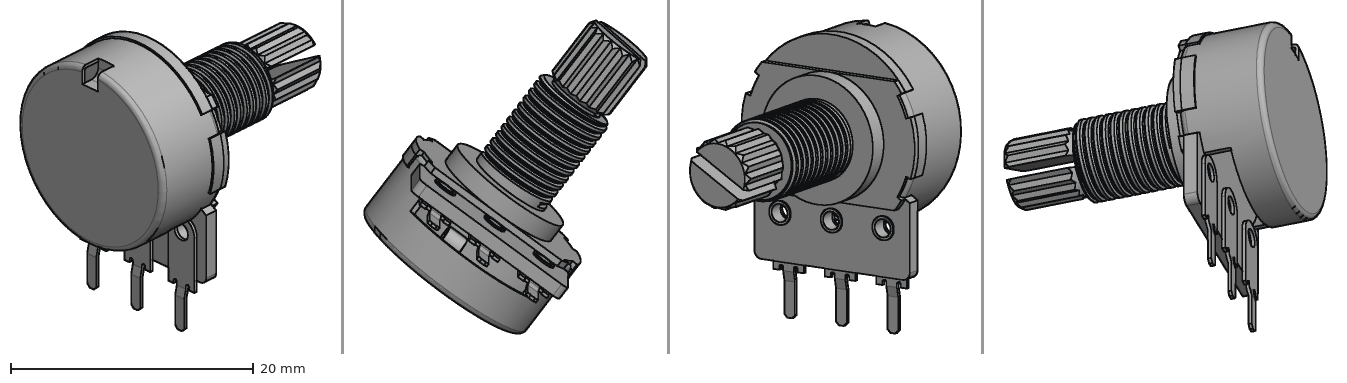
import cadquery as cq
import math


total_length = 24.52
total_height = 24.97
disc_radius = 8.51
lowest_z = disc_radius - total_height
sheet = 0.3

wafer_front = 5.9
wafer_thickness = 1.2
plate_front = wafer_front + wafer_thickness
plate_thickness = 0.6
flange_front = plate_front + plate_thickness
flange_thickness = 1.65
flange_back = flange_front + flange_thickness
bushing_end = 18.33

can_radius = 8.35
can_inner_radius = can_radius - sheet
can_edge_fillet = 0.5
can_inner_fillet = can_edge_fillet - sheet
window_start = 3.57
window_top = -5.8
crimp_radius = 0.52
crimp_start = 6.9
lug_angle_low = 17.9
lug_angle_high = 32.2

bridge_width = 1.8
bridge_depth = 1.9
bridge_floor = 6.62
bridge_radius = 0.8

wafer_half_width = 7.65
wafer_bottom = -11.4
wafer_corner = 0.7
flange_radius = 5.47
hole_z = -7.25
hole_radius = 0.77
boss_radius = 1.02
boss_height = 0.15

thread_radius = 3.5
thread_root_radius = 3.25
thread_pitch = 0.75
thread_start = 9.81
thread_start_angle = 130.0
thread_end_chamfer = 0.22
groove_root_width = 0.15
groove_mouth_width = 0.45
groove_overshoot = 0.1

shaft_radius = 2.42
knurl_radius = 3.0
knurl_root_radius = 2.75
knurl_teeth = 18
neck_end = 18.6
knurl_start = 19.1
tip_radius = 2.7
tip_chamfer = 0.45
slot_width = 1.0
slot_angle = 30.0

terminal_spacing = 5.07
terminal_half_width = 1.5
terminal_shoulder = -12.44
relief_width = 0.37
pin_half_width = 0.52
relief_top = -11.99
pin_offset = 0.2
pin_straight_top = -13.3
pin_tip_chamfer = 0.3


def on_y(y):
    """Workplane at height y whose local axes are X and Z; extrude by a negative length toward +Y."""
    return cq.Workplane("XZ", origin=(0, y, 0))


def cylinder(radius, y_start, y_end):
    return on_y(y_start).circle(radius).extrude(y_start - y_end)


def block(x_range, y_range, z_range):
    low, high = zip(x_range, y_range, z_range)
    size = [b - a for a, b in zip(low, high)]
    return cq.Workplane("XY").box(*size, centered=False).translate(low)


def polar(radius, degrees):
    angle = math.radians(degrees)
    return radius * math.cos(angle), radius * math.sin(angle)


def mirrored_four(shape):
    """The shape on the +X +Z side and its copies in the other three quadrants."""
    pair = shape.union(shape.mirror("YZ"))
    return pair.union(pair.mirror("XY"))


def lug_sectors(y_start, y_end):
    """Four wedges, reaching past the disc edge, that cover the angles of the can lugs."""
    reach = 2 * disc_radius
    wedge = (
        on_y(y_start)
        .polyline([(0, 0), polar(reach, lug_angle_low), polar(reach, lug_angle_high)])
        .close()
        .extrude(y_start - y_end)
    )
    return mirrored_four(wedge)


def lug_notches(y_start, y_end):
    return lug_sectors(y_start, y_end).cut(cylinder(can_inner_radius, y_start, y_end))


def make_lugs():
    """Four wall sections that reach past the wafer, rounded over at the end."""
    arc_center = can_radius - crimp_radius

    def crimp_point(radius):
        return radius, crimp_start + math.sqrt(crimp_radius**2 - (radius - arc_center) ** 2)

    inner_end = crimp_point(can_inner_radius)
    arc_middle = crimp_point(can_radius - sheet / 4)
    ring = (
        cq.Workplane("XY")
        .moveTo(can_inner_radius, wafer_front)
        .lineTo(can_radius, wafer_front)
        .lineTo(can_radius, crimp_start)
        .threePointArc(arc_middle, inner_end)
        .close()
        .revolve(360, (0, 0, 0), (0, 1, 0))
    )
    return ring.intersect(lug_sectors(wafer_front, flange_front))


def make_bridge():
    """Strip from the end face inward, curving up to the can wall."""
    bend_y = bridge_depth - bridge_radius
    bend_z = bridge_floor + bridge_radius
    diagonal = math.sqrt(0.5)
    outer_radius = bridge_radius + sheet
    strip = (
        cq.Workplane("YZ", origin=(-bridge_width / 2, 0, 0))
        .moveTo(0, bridge_floor)
        .lineTo(bend_y, bridge_floor)
        .threePointArc(
            (bend_y + bridge_radius * diagonal, bend_z - bridge_radius * diagonal),
            (bridge_depth, bend_z),
        )
        .lineTo(bridge_depth, can_radius)
        .lineTo(bridge_depth + sheet, can_radius)
        .lineTo(bridge_depth + sheet, bend_z)
        .threePointArc(
            (bend_y + outer_radius * diagonal, bend_z - outer_radius * diagonal),
            (bend_y, bridge_floor - sheet),
        )
        .lineTo(0, bridge_floor - sheet)
        .close()
        .extrude(bridge_width)
    )
    return strip.intersect(cylinder(can_radius, 0, wafer_front))


def make_can():
    """Hollow can with a pressed-in bridge, a cutaway for the terminals and four crimped lugs."""
    outside = cylinder(can_radius, 0, wafer_front).faces("<Y").edges().fillet(can_edge_fillet)
    inside = cylinder(can_inner_radius, sheet, wafer_front).faces("<Y").edges().fillet(can_inner_fillet)
    bridge_opening = block(
        (-bridge_width / 2, bridge_width / 2), (0, bridge_depth), (bridge_floor, can_radius)
    )
    terminal_window = block(
        (-can_radius, can_radius), (window_start, wafer_front), (-can_radius, window_top)
    )
    shell = outside.cut(inside).cut(bridge_opening).cut(terminal_window)
    return shell.union(make_bridge()).union(make_lugs())


def make_wafer():
    """Disc with a square apron that carries the terminals."""
    boss_end = plate_front + boss_height
    apron = block(
        (-wafer_half_width, wafer_half_width), (wafer_front, plate_front), (wafer_bottom, 0)
    )
    apron = apron.faces("<Z").edges("|Y").fillet(wafer_corner)
    wafer = cylinder(disc_radius, wafer_front, plate_front).union(apron)
    wafer = wafer.cut(lug_notches(wafer_front, plate_front))
    for x in terminal_positions:
        boss = cylinder(boss_radius, plate_front, boss_end).translate((x, 0, hole_z))
        hole = cylinder(hole_radius, wafer_front, boss_end).translate((x, 0, hole_z))
        wafer = wafer.union(boss).cut(hole)
    return wafer


def make_plate():
    """Disc cut off level with the bushing flange, with a hole for the shaft."""
    band = block(
        (-disc_radius, disc_radius), (plate_front, flange_front), (-flange_radius, flange_radius)
    )
    plate = cylinder(disc_radius, plate_front, flange_front).intersect(band)
    plate = plate.cut(lug_notches(plate_front, flange_front))
    return plate.cut(cylinder(shaft_radius, plate_front, flange_front))


def make_thread_groove():
    """Right-handed helical groove that starts on the -X side and runs out past the bushing end."""
    helix_length = bushing_end - thread_start + thread_pitch
    flank_slope = (groove_mouth_width - groove_root_width) / 2 / (thread_radius - thread_root_radius)
    cutter_radius = thread_radius + groove_overshoot
    cutter_half_width = groove_mouth_width / 2 + flank_slope * groove_overshoot
    corners = [
        (thread_root_radius, -groove_root_width / 2),
        (cutter_radius, -cutter_half_width),
        (cutter_radius, cutter_half_width),
        (thread_root_radius, groove_root_width / 2),
    ]
    helices = [
        cq.Wire.makeHelix(thread_pitch, helix_length, radius).translate(cq.Vector(0, 0, height))
        for radius, height in corners
    ]
    faces = []
    for helix, next_helix in zip(helices, helices[1:] + helices[:1]):
        faces.extend(cq.Face.makeRuledSurface(helix, next_helix).Faces())
    for end_points in (
        [helix.startPoint() for helix in helices],
        [helix.endPoint() for helix in helices],
    ):
        faces.append(cq.Face.makeFromWires(cq.Wire.makePolygon(end_points, close=True)))
    groove = cq.Workplane(cq.Solid.makeSolid(cq.Shell.makeShell(faces)))
    on_shaft_axis = groove.rotate((0, 0, 0), (1, 0, 0), -90).translate((0, thread_start, 0))
    angle_from_x = -90 - thread_start_angle
    return on_shaft_axis.rotate((0, 0, 0), (0, 1, 0), angle_from_x)


def make_bushing():
    """Round flange and threaded barrel, bored for the shaft."""
    flange = cylinder(flange_radius, flange_front, flange_back)
    barrel = cylinder(thread_radius, flange_back, bushing_end)
    barrel = barrel.faces(">Y").edges().chamfer(thread_end_chamfer)
    barrel = barrel.cut(make_thread_groove())
    bore = cylinder(shaft_radius, flange_front, bushing_end)
    return flange.union(barrel).cut(bore)


def make_shaft():
    """Round shaft with a knurled tip that is split by a slanted slot."""
    envelope = (
        cq.Workplane("XY")
        .polyline([
            (0, plate_front),
            (shaft_radius, plate_front),
            (shaft_radius, neck_end),
            (knurl_radius, knurl_start),
            (knurl_radius, total_length - tip_chamfer),
            (tip_radius, total_length),
            (0, total_length),
        ])
        .close()
        .revolve(360, (0, 0, 0), (0, 1, 0))
    )
    half_tooth = 180 / knurl_teeth
    star_points = []
    for tooth in range(knurl_teeth):
        star_points.append(polar(knurl_radius, 2 * tooth * half_tooth))
        star_points.append(polar(knurl_root_radius, (2 * tooth + 1) * half_tooth))
    star = on_y(plate_front).polyline(star_points).close().extrude(plate_front - total_length)
    slot = block(
        (-knurl_radius, knurl_radius), (bushing_end, total_length), (-slot_width / 2, slot_width / 2)
    ).rotate((0, 0, 0), (0, 1, 0), -slot_angle)
    return envelope.intersect(star).cut(slot)


def terminal_outline():
    """Blank as deep as the stepped strip: rounded top, body, and the narrow pin between two reliefs."""
    y_start = wafer_front - sheet - pin_offset
    thickness = wafer_front - y_start
    body = (
        on_y(y_start)
        .moveTo(-terminal_half_width, terminal_shoulder)
        .lineTo(-terminal_half_width, hole_z)
        .threePointArc((0, hole_z + terminal_half_width), (terminal_half_width, hole_z))
        .lineTo(terminal_half_width, terminal_shoulder)
        .close()
        .extrude(-thickness)
    )
    pin = block(
        (-pin_half_width, pin_half_width), (y_start, wafer_front), (lowest_z, terminal_shoulder)
    )
    pin = pin.faces("<Z").edges("|Y").chamfer(pin_tip_chamfer)
    outline = body.union(pin)
    relief_radius = relief_width / 2
    for side in (-1, 1):
        x = side * (pin_half_width + relief_radius)
        arch_z = relief_top - relief_radius
        arch = cylinder(relief_radius, y_start, wafer_front).translate((x, 0, arch_z))
        slit = block(
            (x - relief_radius, x + relief_radius), (y_start, wafer_front), (terminal_shoulder, arch_z)
        )
        outline = outline.cut(arch).cut(slit)
    return outline


def make_terminal(x):
    """Sheet-metal terminal with a stepped pin and a hole that lines up with the wafer hole."""
    body_front = wafer_front - sheet
    strip = (
        cq.Workplane("YZ", origin=(-terminal_half_width, 0, 0))
        .polyline([
            (wafer_front, 0),
            (wafer_front, terminal_shoulder),
            (wafer_front - pin_offset, pin_straight_top),
            (wafer_front - pin_offset, lowest_z),
            (body_front - pin_offset, lowest_z),
            (body_front - pin_offset, pin_straight_top),
            (body_front, terminal_shoulder),
            (body_front, 0),
        ])
        .close()
        .extrude(2 * terminal_half_width)
    )
    hole = cylinder(hole_radius, body_front, wafer_front).translate((0, 0, hole_z))
    terminal = strip.intersect(terminal_outline()).cut(hole)
    return terminal.translate((x, 0, 0))


terminal_positions = [-terminal_spacing, 0, terminal_spacing]

can = make_can()
wafer = make_wafer()
plate = make_plate()
bushing = make_bushing()
shaft = make_shaft()
terminals = [make_terminal(x) for x in terminal_positions]

result = cq.Compound.makeCompound([
    can.val(),
    wafer.val(),
    plate.val(),
    bushing.val(),
    shaft.val(),
    *[terminal.val() for terminal in terminals],
])